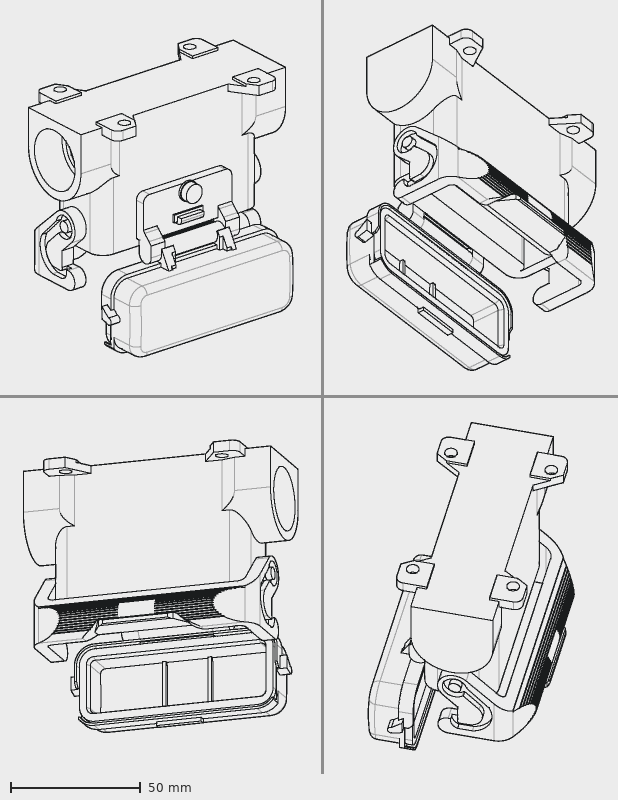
import cadquery as cq
import math


overlap = 1.0

length = 101.0
tube_half_width = 16.3
tube_axis_z = -16.6
body_half_x = 14.6
body_half_y = 39.7
body_bottom_z = -56.1
body_corner = 6.5
waist_half_y = 30.2
waist_end_y = 35.8
entry_radius = 12.5
entry_depth = 13.6
passage_radius = 10.0
cavity_half_x = 5.3
cavity_half_y = 35.4
cavity_top_z = -4.0
cavity_flare = 3.5

ear_reach = 25.0
ear_outer_y = 40.0
ear_inner_y = 30.3
ear_root_y = 23.4
ear_thickness = 3.1
ear_corner = 3.1
pad_size = 12.6
pad_height = 1.1
ear_hole = (19.9, 31.9)
ear_hole_radius = 2.4

pivot_z = -46.3
lever_half_y = 45.9
arm_inner_y = 40.3
eye_radius = 6.8
eye_ring_radius = 4.8
pin_radius = 2.4
boss_radius = 3.4
nose_x = -22.2
nose_z = -65.0
nose_radius = 7.0
shoulder_z = -57.4
lever_bottom_z = nose_z - nose_radius
hook_x = 2.5
hook_radius = 4.1
hook_slot_x = -1.2
hook_slot_top_z = -56.7
hook_center_z = lever_bottom_z + hook_radius
arm_slope = math.radians(42.5)
bend_radius = 7.9
bend_start_x = -15.6
bend_angle = math.radians(58.0)
bar_inner_x = -18.4
bar_inner_corner = 2.5
channel_depth = 2.4
flute_pitch = 8.1
flute_width = 0.3
flute_depth = 0.3
flute_range = range(-6, 10)
badge_flutes = range(-2, 5)
badge_half_y = 7.6
recess_ends_y = (24.0, 19.2, 16.2)
tab_front_x = -30.1
tab_front_half_y = 13.3
tab_bevel = 0.5
tab_corner = (0.8, 1.8)
tab_top_z = -67.4
tab_bottom_z = -69.9

bracket_half_y = 21.8
bracket_top_z = -33.3
bracket_corner = 3.1
bracket_face_x = 18.9
hinge_x = 20.0
hinge_z = -57.7
hinge_radius = 3.7
arm_top_z = -47.7
arm_slope_points = [(19.7, -48.7), (22.4, -51.2), (23.7, -52.6)]
knuckle_inner_y = 14.9
bracket_low_z = -52.7
ledge_half_y = 14.1
ledge_bottom_z = -54.6
stop_base_half_y = 7.1
stop_half_y = 5.6
stop_base_x = 19.7
stop_x = 22.0
stop_top_z = -46.3
stop_base_top_z = -45.1
stop_base_low_z = -48.5
stop_height = 3.0
stop_round = 1.8
gusset_slope_x = (23.7, 28.5)
gusset_top_z = -55.3
gusset_foot_z = -63.6
gusset_outer_y = 16.7
gusset_steps = [(28.5, 2.0), (27.5, 4.0), (25.0, 5.8)]
screw_z = -37.0
screw_radius = 3.9
screw_head_x = 23.0
washer_radius = 4.2
washer_thickness = 1.0

cap_half_y = 39.8
cap_half_z = 14.8
cap_center_z = -78.0
cap_rim_x = 18.2
cap_top_x = 36.4
cap_sag = 1.0
cap_corner = 6.5
cap_edge_round = 3.1
rim_step = 0.2
flange_back_x = 23.3
flange_front_x = 17.6
flange_floor_x = 21.2
flange_offset = 1.6
flange_wall = 0.9
cap_floor_x = 32.7
cap_mouth_half_y = 36.7
cap_mouth_half_z = 11.5
cap_mouth_corner = 2.8
cap_mouth_bevel = 0.8
cap_bevel_depth = 2.2
rib_y = 9.3
rib_thickness = 1.4
rib_height = 2.0
hood_end_z = -76.1
hood_chamfer_x = 19.4
hood_chamfer_z = -78.1
lip_top_z = -90.4
lip_cut_y = 34.3
peg_half_y = 44.1
peg_tip_x = 25.5
peg_top_z = -72.8
peg_upper_z = -76.2
peg_lower_z = -79.3
pull_half_y = 9.1
pull_root_x = 24.2
pull_tip_x = 23.8
overall_bottom_z = -96.0


def block(x0, x1, y0, y1, z0, z1):
    """Box given by its limits along the three axes."""
    return cq.Workplane("XY").box(x1 - x0, y1 - y0, z1 - z0, centered=False).translate((x0, y0, z0))


def extrude_y(points, y0, y1):
    """Prism of an XZ polygon between two Y positions."""
    return cq.Workplane("XZ", origin=(0, y1, 0)).polyline(points).close().extrude(y1 - y0)


def disc_y(x, z, radius, y0, y1):
    """Cylinder parallel to Y."""
    return cq.Workplane("XZ", origin=(0, y1, 0)).center(x, z).circle(radius).extrude(y1 - y0)


def disc_x(z, radius, x0, x1):
    """Cylinder parallel to X in the middle plane."""
    return cq.Workplane("YZ", origin=(x0, 0, 0)).center(0, z).circle(radius).extrude(x1 - x0)


def rounded_plate(half_y, half_z, corner, x0, x1):
    """Rounded rectangle around the cap's centre, extruded along X."""
    plate = cq.Workplane("YZ", origin=(x0, 0, cap_center_z)).rect(2 * half_y, 2 * half_z)
    return plate.extrude(x1 - x0).edges("|X").fillet(corner)


def both_sides_y(shape):
    """Shape joined with its mirror image across the middle plane Y = 0."""
    return shape.union(shape.mirror("XZ"))


def make_housing():
    """D-shaped cable tube with a waisted middle, joined to the rounded connector body."""
    half = length / 2
    tube = (
        cq.Workplane("XZ", origin=(0, half, 0))
        .moveTo(-tube_half_width, 0)
        .lineTo(-tube_half_width, tube_axis_z)
        .threePointArc((0, tube_axis_z - tube_half_width), (tube_half_width, tube_axis_z))
        .lineTo(tube_half_width, 0)
        .close()
        .extrude(length)
    )
    quarter = [
        (body_half_x, waist_half_y),
        (tube_half_width, waist_end_y),
        (tube_half_width, half),
    ]
    right_edge = [(x, -y) for x, y in reversed(quarter)] + quarter
    left_edge = [(-x, y) for x, y in reversed(right_edge)]
    waist = cq.Workplane("XY").polyline(right_edge + left_edge).close().extrude(-length)
    body = (
        cq.Workplane("XY")
        .rect(2 * body_half_x, 2 * body_half_y)
        .extrude(body_bottom_z)
        .edges("|Z")
        .fillet(body_corner)
    )
    return tube.intersect(waist).union(body)


def make_ear():
    """Ear in the +X, +Y quarter: tapered plate with a raised square pad."""
    blank = (
        cq.Workplane("XY", origin=(0, 0, -ear_thickness))
        .polyline([
            (0, ear_outer_y),
            (ear_reach, ear_outer_y),
            (ear_reach, ear_inner_y),
            (body_half_x, ear_root_y),
            (0, ear_root_y),
        ])
        .close()
        .extrude(ear_thickness + pad_height)
        .edges("|Z and >X and >Y")
        .fillet(ear_corner)
    )
    plate_zone = block(0, ear_reach, ear_root_y, ear_outer_y, -ear_thickness, 0)
    pad_zone = block(ear_reach - pad_size, ear_reach, ear_outer_y - pad_size, ear_outer_y, 0, pad_height)
    return blank.intersect(plate_zone.union(pad_zone))


def cut_ear_holes(part):
    """Vertical screw hole through each ear."""
    x, y = ear_hole
    places = [(x, y), (-x, y), (x, -y), (-x, -y)]
    holes = (
        cq.Workplane("XY", origin=(0, 0, pad_height))
        .pushPoints(places)
        .circle(ear_hole_radius)
        .extrude(-pad_height - ear_thickness)
    )
    return part.cut(holes)


def cut_housing_inside(part):
    """Cavity open at the bottom, reached by the stepped cable entry and a rounded mouth in the -Y end."""
    flare_half_x = cavity_half_x + cavity_flare
    bend = cavity_flare * math.sqrt(0.5)
    start_y = -cavity_half_y
    cavity = (
        cq.Workplane("XY", origin=(0, 0, body_bottom_z))
        .moveTo(-flare_half_x, start_y)
        .threePointArc(
            (bend - flare_half_x, start_y + cavity_flare - bend),
            (-cavity_half_x, start_y + cavity_flare),
        )
        .lineTo(-cavity_half_x, cavity_half_y)
        .lineTo(cavity_half_x, cavity_half_y)
        .lineTo(cavity_half_x, start_y + cavity_flare)
        .threePointArc(
            (flare_half_x - bend, start_y + cavity_flare - bend),
            (flare_half_x, start_y),
        )
        .close()
        .extrude(cavity_top_z - body_bottom_z)
    )
    end_y = -length / 2
    entry = disc_y(0, tube_axis_z, entry_radius, end_y, end_y + entry_depth)
    passage = disc_y(0, tube_axis_z, passage_radius, end_y, start_y)
    return part.cut(cavity).cut(entry).cut(passage)


def make_lever_profile():
    """Side outline of the lever: pivot eye, sloping arm, round nose and hook."""
    eye_dx = eye_radius * math.sin(arm_slope)
    eye_dz = eye_radius * math.cos(arm_slope)
    return (
        cq.Workplane("XZ", origin=(0, lever_half_y, 0))
        .moveTo(-eye_dx, pivot_z + eye_dz)
        .lineTo(nose_x, shoulder_z)
        .lineTo(nose_x, nose_z + nose_radius)
        .threePointArc((nose_x - nose_radius, nose_z), (nose_x, lever_bottom_z))
        .lineTo(hook_x, lever_bottom_z)
        .threePointArc((hook_x + hook_radius, hook_center_z), (hook_x, hook_center_z + hook_radius))
        .lineTo(hook_slot_x, hook_center_z + hook_radius)
        .lineTo(hook_slot_x, hook_slot_top_z)
        .lineTo(eye_dx, pivot_z - eye_dz)
        .threePointArc((eye_dz, pivot_z + eye_dx), (-eye_dx, pivot_z + eye_dz))
        .close()
        .extrude(2 * lever_half_y)
    )


def make_lever_plan():
    """Top outline of the lever: each arm bends into a slanted face, then the straight nose."""
    half_bend = bend_angle / 2
    bend_y = lever_half_y - bend_radius

    def bend_point(angle):
        return (bend_start_x - bend_radius * math.sin(angle), bend_y + bend_radius * math.cos(angle))

    mid_x, mid_y = bend_point(half_bend)
    end_x, end_y = bend_point(bend_angle)
    front_x = nose_x - nose_radius
    front_y = end_y - (end_x - front_x) * math.tan(bend_angle)
    back_x = hook_x + hook_radius + eye_radius
    return (
        cq.Workplane("XY")
        .moveTo(back_x, lever_half_y)
        .lineTo(bend_start_x, lever_half_y)
        .threePointArc((mid_x, mid_y), (end_x, end_y))
        .lineTo(front_x, front_y)
        .lineTo(front_x, -front_y)
        .lineTo(end_x, -end_y)
        .threePointArc((mid_x, -mid_y), (bend_start_x, -lever_half_y))
        .lineTo(back_x, -lever_half_y)
        .close()
        .extrude(-length)
    )


def make_lever_gap():
    """Space between the two arms, behind the bar."""
    gap = block(bar_inner_x, length, -arm_inner_y, arm_inner_y, -length, 0)
    return gap.edges("|Z and <X").fillet(bar_inner_corner)


def make_arm_channel():
    """Recess in the outer face of the -Y arm: curved channel, ring round the pin, open to the hook."""
    outer_y = -lever_half_y
    floor_y = outer_y + channel_depth
    hook_top_z = hook_center_z + hook_radius
    channel_low_z = -68.5
    outer_bend = (-14.4, -61.4)
    outer_exit_bend = (0.8, -67.1)
    inner_exit_bend = (-1.4, -65.0)
    inner_bend = (-11.0, -60.6)
    channel = (
        cq.Workplane("XZ", origin=(0, floor_y, 0))
        .moveTo(-4.6, pivot_z + 1.1)
        .lineTo(-13.7, -54.2)
        .threePointArc(outer_bend, (-7.1, channel_low_z))
        .lineTo(hook_slot_x, channel_low_z)
        .threePointArc(outer_exit_bend, (1.5, hook_top_z))
        .lineTo(hook_slot_x, hook_top_z)
        .threePointArc(inner_exit_bend, (-2.2, -65.4))
        .lineTo(-6.6, -65.2)
        .threePointArc(inner_bend, (-9.7, -55.9))
        .lineTo(-3.4, -49.9)
        .lineTo(-1.8, -50.5)
        .close()
        .extrude(channel_depth)
    )
    ring = disc_y(0, pivot_z, eye_ring_radius, outer_y, floor_y)
    pin = disc_y(0, pivot_z, pin_radius, outer_y, floor_y)
    return channel.union(ring).cut(pin)


def cut_flutes(lever):
    """Fine V grooves along the nose; those crossing the badge are interrupted there."""
    tip = nose_radius - flute_depth
    over = nose_radius + flute_depth
    groove = (
        cq.Workplane("XZ", origin=(0, lever_half_y, 0))
        .polyline([(-tip, 0), (-over, flute_width), (-over, -flute_width)])
        .close()
        .extrude(2 * lever_half_y)
    )
    badge = block(-length, length, -badge_half_y, badge_half_y, -length, length)
    for index in flute_range:
        one = groove.cut(badge) if index in badge_flutes else groove
        one = one.rotate((0, 0, 0), (0, 1, 0), index * flute_pitch)
        lever = lever.cut(one.translate((nose_x, 0, nose_z)))
    return lever


def make_finger_tab():
    """Flat tab under the nose, its front edge bevelled above and below."""
    side_y = recess_ends_y[1]
    corner_x, corner_y = tab_corner
    right_edge = [
        (tab_front_x, tab_front_half_y),
        (tab_front_x + corner_x, tab_front_half_y + corner_y),
        (nose_x, side_y),
        (bar_inner_x, side_y),
    ]
    left_edge = [(x, -y) for x, y in reversed(right_edge)]
    tab = (
        cq.Workplane("XY", origin=(0, 0, tab_bottom_z))
        .polyline(right_edge + left_edge)
        .close()
        .extrude(tab_top_z - tab_bottom_z)
    )
    return tab.faces("<X").edges("|Y").chamfer(tab_bevel)


def make_finger_recess():
    """Relief under the middle of the nose, its ends curving up to the finger tab."""
    bottom_y, middle_y, top_y = recess_ends_y
    return (
        cq.Workplane("YZ", origin=(-length / 2, 0, 0))
        .moveTo(-bottom_y, lever_bottom_z)
        .threePointArc((-middle_y, tab_bottom_z), (-top_y, tab_top_z))
        .lineTo(top_y, tab_top_z)
        .threePointArc((middle_y, tab_bottom_z), (bottom_y, lever_bottom_z))
        .close()
        .extrude(length / 2 + bar_inner_x)
    )


def make_lever():
    """Complete lever with its pivot bosses reaching the housing."""
    lever = make_lever_profile().intersect(make_lever_plan()).cut(make_lever_gap())
    lever = cut_flutes(lever)
    lever = lever.cut(make_finger_recess()).union(make_finger_tab())
    channel = make_arm_channel()
    lever = lever.cut(channel).cut(channel.mirror("XZ"))
    boss = disc_y(0, pivot_z, boss_radius, body_half_y - overlap, arm_inner_y + overlap)
    return lever.union(both_sides_y(boss))


def make_bracket():
    """Plate on the +X face carrying two hinge arms, a cover screw and a stop."""
    wall_x = body_half_x - overlap
    arm_front_x = hinge_x + hinge_radius
    arm_back_x = hinge_x - hinge_radius
    plate = block(
        wall_x, bracket_face_x, -bracket_half_y, bracket_half_y, bracket_low_z, bracket_top_z
    )
    plate = plate.edges("|X and >Z").fillet(bracket_corner)
    arm = extrude_y(
        [
            (wall_x, bracket_low_z),
            (wall_x, arm_top_z),
            (bracket_face_x, arm_top_z),
            *arm_slope_points,
            (arm_front_x, hinge_z),
            (arm_back_x, hinge_z),
            (arm_back_x, bracket_low_z),
        ],
        knuckle_inner_y,
        bracket_half_y,
    )
    arm = arm.union(disc_y(hinge_x, hinge_z, hinge_radius, knuckle_inner_y, bracket_half_y))
    ledge = block(wall_x, arm_back_x, -ledge_half_y, ledge_half_y, ledge_bottom_z, bracket_low_z)
    washer = disc_x(screw_z, washer_radius, bracket_face_x, bracket_face_x + washer_thickness)
    head = disc_x(screw_z, screw_radius, bracket_face_x, screw_head_x)
    stop_low_z = stop_top_z - stop_height
    stop = block(wall_x, stop_x, -stop_half_y, stop_half_y, stop_low_z, stop_top_z)
    stop = stop.edges("|Y and >X and <Z").fillet(stop_round)
    stop_base = block(
        wall_x, stop_base_x, -stop_base_half_y, stop_base_half_y, stop_base_low_z, stop_base_top_z
    )
    bracket = plate.union(both_sides_y(arm)).union(ledge)
    return bracket.union(washer).union(head).union(stop_base).union(stop)


def make_cap_hinge():
    """Middle knuckle with a link to the cap, and two stepped gussets."""
    knuckle = disc_y(hinge_x, hinge_z, hinge_radius, -knuckle_inner_y, knuckle_inner_y)
    half_link = hinge_radius / 3
    link = block(
        hinge_x - half_link,
        hinge_x + half_link,
        -knuckle_inner_y,
        knuckle_inner_y,
        cap_center_z + cap_half_z,
        hinge_z - half_link,
    )
    top_x, foot_x = gusset_slope_x
    slope = extrude_y(
        [
            (flange_floor_x, gusset_foot_z),
            (flange_floor_x, hinge_z),
            (top_x, gusset_top_z),
            (foot_x, gusset_foot_z),
        ],
        0,
        gusset_outer_y,
    )
    steps = cq.Workplane("XY")
    for reach_x, width in gusset_steps:
        step = block(
            flange_floor_x, reach_x, gusset_outer_y - width, gusset_outer_y, gusset_foot_z, gusset_top_z
        )
        steps = steps.add(step)
    gusset = slope.intersect(steps.combine())
    return knuckle.union(link).union(both_sides_y(gusset))


def make_cap_shell():
    """Rounded box with a gently crowned outer face and a slightly stepped rim."""
    top_z = cap_center_z + cap_half_z
    bottom_z = cap_center_z - cap_half_z
    crown = (
        cq.Workplane("XZ", origin=(0, cap_half_y, 0))
        .moveTo(flange_floor_x, bottom_z)
        .lineTo(cap_top_x - cap_sag, bottom_z)
        .threePointArc((cap_top_x, cap_center_z), (cap_top_x - cap_sag, top_z))
        .lineTo(flange_floor_x, top_z)
        .close()
        .extrude(2 * cap_half_y)
        .edges("|X")
        .fillet(cap_corner)
        .faces(">X")
        .edges()
        .fillet(cap_edge_round)
    )
    rim = rounded_plate(
        cap_half_y - rim_step, cap_half_z - rim_step, cap_corner - rim_step, cap_rim_x, flange_floor_x
    )
    return crown.union(rim)


def make_cap_flange():
    """Thin skirt round the rim: a hood over the top and upper sides, a lip under the bottom."""
    half_y = cap_half_y + flange_offset
    half_z = cap_half_z + flange_offset
    corner = cap_corner + flange_offset
    skirt = rounded_plate(half_y, half_z, corner, flange_front_x, flange_back_x)
    inside = rounded_plate(
        half_y - flange_wall, half_z - flange_wall, corner - flange_wall, flange_front_x, flange_floor_x
    )
    side_relief = extrude_y(
        [
            (flange_front_x, hood_end_z),
            (hood_chamfer_x, hood_chamfer_z),
            (flange_back_x, hood_chamfer_z),
            (flange_back_x, -length),
            (flange_front_x, -length),
        ],
        cap_half_y,
        length,
    )
    lip_relief = block(flange_front_x, flange_floor_x, lip_cut_y, length, lip_top_z, hood_chamfer_z)
    relief = side_relief.union(lip_relief)
    return skirt.cut(inside).cut(both_sides_y(relief))


def make_cap_pegs():
    """Side pegs caught by the lever's hooks."""
    middle_z = (peg_upper_z + peg_lower_z) / 2
    tip_x = peg_tip_x + (peg_upper_z - peg_lower_z) / 2
    peg = (
        cq.Workplane("XZ", origin=(0, peg_half_y, 0))
        .moveTo(flange_floor_x, peg_top_z)
        .lineTo(peg_tip_x, peg_upper_z)
        .threePointArc((tip_x, middle_z), (peg_tip_x, peg_lower_z))
        .lineTo(flange_floor_x, hood_chamfer_z)
        .close()
        .extrude(peg_half_y - cap_half_y + overlap)
    )
    return both_sides_y(peg)


def make_cap_mouth():
    """Hollow of the cap: bevelled opening, straight walls, floor crowned like the outer face."""
    bevel_angle = math.degrees(math.atan(cap_mouth_bevel / cap_bevel_depth))
    opening = (
        cq.Workplane("YZ", origin=(cap_rim_x, 0, cap_center_z))
        .sketch()
        .rect(2 * cap_mouth_half_y, 2 * cap_mouth_half_z)
        .vertices()
        .fillet(cap_mouth_corner)
        .finalize()
        .extrude(cap_bevel_depth, taper=bevel_angle)
    )
    straight = rounded_plate(
        cap_mouth_half_y - cap_mouth_bevel,
        cap_mouth_half_z - cap_mouth_bevel,
        cap_mouth_corner - cap_mouth_bevel,
        cap_rim_x,
        cap_floor_x,
    )
    side_floor_x = cap_floor_x - cap_sag
    low_z = cap_center_z - cap_half_z
    high_z = cap_center_z + cap_half_z
    crowned = (
        cq.Workplane("XZ", origin=(0, cap_half_y, 0))
        .moveTo(cap_rim_x, low_z)
        .lineTo(side_floor_x, low_z)
        .threePointArc((cap_floor_x, cap_center_z), (side_floor_x, high_z))
        .lineTo(cap_rim_x, high_z)
        .close()
        .extrude(2 * cap_half_y)
    )
    return opening.union(straight.intersect(crowned))


def make_cap():
    """Complete cap with pull tab, hollow, two inner ribs and its hinge."""
    pull_root_z = cap_center_z - cap_half_z + rim_step
    pull = extrude_y(
        [
            (flange_floor_x, pull_root_z),
            (pull_root_x, pull_root_z),
            (pull_tip_x, overall_bottom_z),
            (flange_floor_x, overall_bottom_z),
        ],
        -pull_half_y,
        pull_half_y,
    )
    cap = make_cap_shell().union(make_cap_flange()).union(make_cap_pegs()).union(pull)
    cap = cap.cut(make_cap_mouth())
    rib = block(
        cap_floor_x - rib_height,
        cap_floor_x + overlap,
        rib_y - rib_thickness / 2,
        rib_y + rib_thickness / 2,
        cap_center_z - cap_mouth_half_z,
        cap_center_z + cap_mouth_half_z,
    )
    return cap.union(both_sides_y(rib)).union(make_cap_hinge())


ear_pair = both_sides_y(make_ear())
housing = make_housing().union(ear_pair).union(ear_pair.mirror("YZ"))
housing = cut_housing_inside(cut_ear_holes(housing))
result = housing.union(make_bracket()).union(make_lever()).union(make_cap())